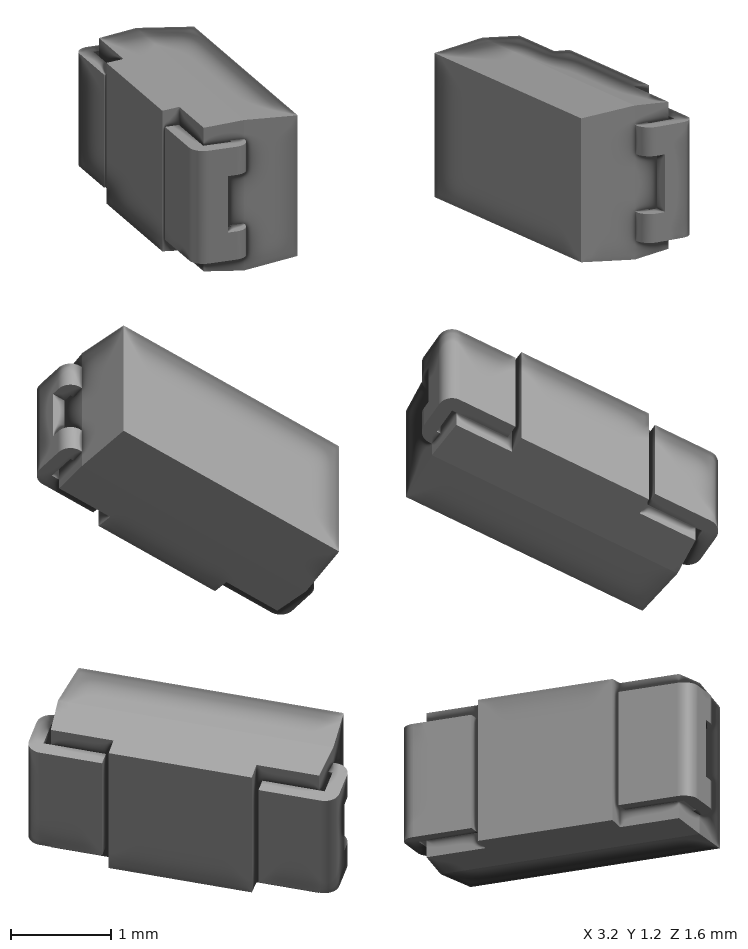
import cadquery as cq
import math

LENGTH = 3.2
DEPTH = 1.2
HEIGHT = 1.6

BODY_LENGTH = 2.84
DRAFT_ANGLE = 5.0
HALF_DEPTH = DEPTH / 2
DRAFT_INSET = HALF_DEPTH * math.tan(math.radians(DRAFT_ANGLE))

LEAD_THICKNESS = 0.15
LEAD_WIDTH = 1.2
LEAD_FOOT = 0.795
LEAD_BEND_RADIUS = LEAD_THICKNESS
NOTCH_WIDTH = LEAD_WIDTH / 2
NOTCH_DEPTH = 0.243

PEDESTAL_LENGTH = 1.475
FOOT_CLEARANCE = 0.032
STEP_DEPTH = LEAD_THICKNESS + FOOT_CLEARANCE

BAND_LENGTH = 0.385
BAND_THICKNESS = 0.048


def box_between(x_range, y_range, z_height):
    """Box over the given X and Y ranges, centred on Z = 0."""
    x_min, x_max = x_range
    y_min, y_max = y_range
    return (
        cq.Workplane("XY")
        .box(x_max - x_min, y_max - y_min, z_height, centered=(False, False, True))
        .translate((x_min, y_min, 0))
    )


def tapered_half(direction):
    """Tapered block from the parting plane toward +Y (direction 1) or -Y (-1)."""
    return (
        cq.Workplane("XZ")
        .rect(BODY_LENGTH, HEIGHT)
        .workplane(offset=-direction * HALF_DEPTH)
        .rect(BODY_LENGTH - 2 * DRAFT_INSET, HEIGHT - 2 * DRAFT_INSET)
        .loft(ruled=True)
    )


def make_band():
    """Marking strip flush with the back face and the tapered sides."""
    band_start = -BODY_LENGTH / 2
    band_end = band_start + DRAFT_INSET + BAND_LENGTH
    slab = box_between(
        (band_start, band_end), (HALF_DEPTH - BAND_THICKNESS, HALF_DEPTH), HEIGHT
    )
    return tapered_half(1).intersect(slab)


def make_housing(band):
    """Moulded housing with a recess for the band and a step behind each lead foot."""
    housing = tapered_half(1).union(tapered_half(-1)).cut(band)
    step_y = (-HALF_DEPTH, -HALF_DEPTH + STEP_DEPTH)
    for step_x in (
        (-LENGTH / 2, -PEDESTAL_LENGTH / 2),
        (PEDESTAL_LENGTH / 2, LENGTH / 2),
    ):
        housing = housing.cut(box_between(step_x, step_y, HEIGHT))
    return housing


def make_lead(housing, side):
    """C-shaped lead at the -X end (side -1) or +X end (1), ending on the housing."""
    outer = -LENGTH / 2
    foot_end = outer + LEAD_FOOT
    inner = outer + LEAD_THICKNESS
    lead = box_between((outer, foot_end), (-HALF_DEPTH, 0), LEAD_WIDTH)
    lead = lead.edges("|Z and <X").fillet(LEAD_BEND_RADIUS)

    lead = lead.cut(
        box_between(
            (inner, foot_end),
            (-HALF_DEPTH + LEAD_THICKNESS, -LEAD_THICKNESS),
            LEAD_WIDTH,
        )
    )
    lead = lead.cut(
        box_between((-BODY_LENGTH / 2 + DRAFT_INSET, foot_end), (-LEAD_THICKNESS, 0), LEAD_WIDTH)
    )
    lead = lead.cut(box_between((outer, foot_end), (-NOTCH_DEPTH, 0), NOTCH_WIDTH))

    if side > 0:
        lead = lead.mirror("YZ")
    return lead.cut(housing)


band = make_band()
housing = make_housing(band)
leads = [make_lead(housing, side) for side in (-1, 1)]

bodies = [housing, band, *leads]
result = cq.Compound.makeCompound([body.solids().val() for body in bodies])